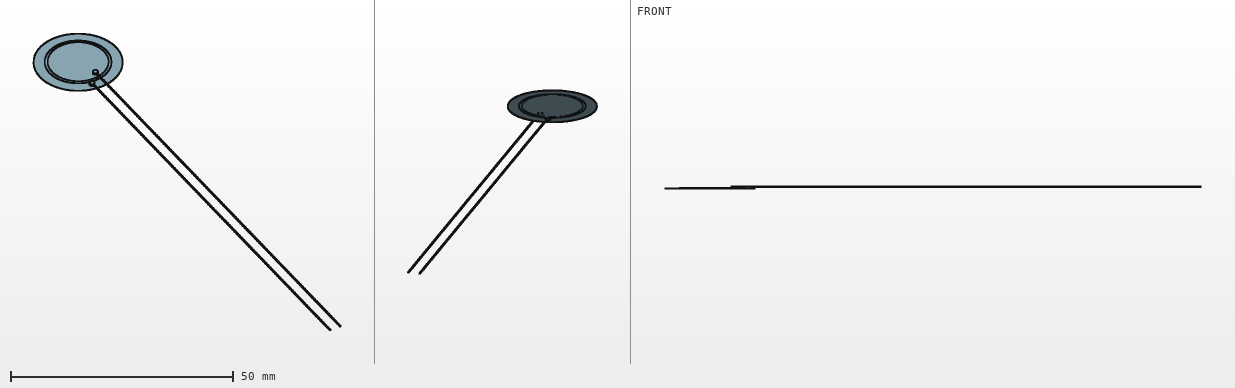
import cadquery as cq

total_length = 120.0
total_height = 0.6

plate_diameter = 20.0
plate_thickness = 0.1
ceramic_diameter = 15.0
ceramic_thickness = 0.1
electrode_diameter = 13.7
electrode_thickness = 0.02

solder_diameter = 1.2
solder_x_electrode = 5.4
solder_x_plate = 8.3
wire_spacing = 2.6
wire_pair_y = -0.1

bare_diameter = 0.2
insulation_diameter = 0.25
wire_depth = 0.04
stripped_length = 3.0
bare_length_at_solder = 1.0

wire_y_electrode = wire_pair_y + wire_spacing / 2
wire_y_plate = wire_pair_y - wire_spacing / 2
ceramic_base = plate_thickness
electrode_base = ceramic_base + ceramic_thickness
electrode_top = electrode_base + electrode_thickness
wire_end_x = total_length - plate_diameter / 2
wire_z = total_height - wire_depth - insulation_diameter / 2


def disc(diameter, base, top, x=0.0, y=0.0):
    """Flat upright cylinder between two heights."""
    return (
        cq.Workplane("XY", origin=(x, y, base))
        .circle(diameter / 2)
        .extrude(top - base)
    )


def lead_wire(start_x, y):
    """Stepped round wire along X, turned about its own axis."""
    bare_radius = bare_diameter / 2
    insulation_radius = insulation_diameter / 2
    insulation_start = bare_length_at_solder
    length = wire_end_x - start_x
    insulation_end = length - stripped_length
    return (
        cq.Workplane("XY", origin=(start_x, y, wire_z))
        .lineTo(0, bare_radius)
        .lineTo(insulation_start, bare_radius)
        .lineTo(insulation_start, insulation_radius)
        .lineTo(insulation_end, insulation_radius)
        .lineTo(insulation_end, bare_radius)
        .lineTo(length, bare_radius)
        .lineTo(length, 0)
        .close()
        .revolve(360, (0, 0, 0), (1, 0, 0))
    )


def soldered_wire(solder_x, y, solder_base):
    """Solder joint with a lead running from its centre to the free end."""
    solder = disc(solder_diameter, solder_base, total_height, solder_x, y)
    return solder.union(lead_wire(solder_x, y))


plate = disc(plate_diameter, 0.0, plate_thickness)
ceramic = disc(ceramic_diameter, ceramic_base, electrode_base)
electrode = disc(electrode_diameter, electrode_base, electrode_top)

result = (
    plate.union(ceramic)
    .union(electrode)
    .union(soldered_wire(solder_x_electrode, wire_y_electrode, electrode_top))
    .union(soldered_wire(solder_x_plate, wire_y_plate, plate_thickness))
)